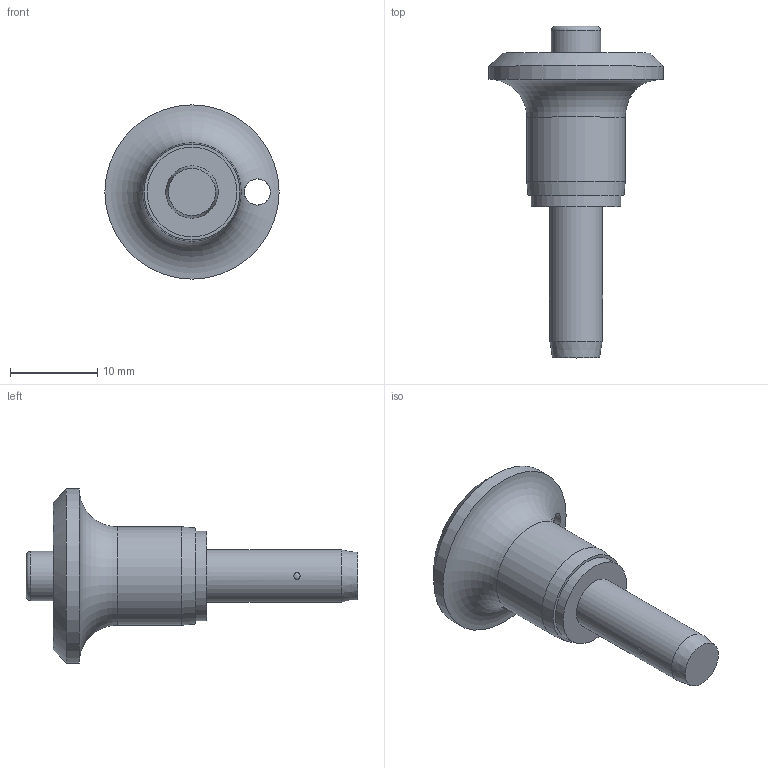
import cadquery as cq
import math

flange_diameter = 20.0
flange_chamfer = 1.5
flange_thickness = 3.0

button_diameter = 5.65
button_height = 3.1
button_rounding = 0.5

barrel_diameter = 11.3
barrel_taper_station = 14.7
barrel_end_station = 16.4
barrel_end_diameter = 11.0

collar_diameter = 10.3
collar_end_station = 17.65

shank_diameter = 6.0
tip_length = 1.9
tip_diameter = 5.4
pin_end_station = 35.0

lanyard_hole_diameter = 3.0
lanyard_hole_offset = 7.5

ball_station = 28.0
ball_diameter = 1.5
ball_rim_diameter = 0.8

flange_radius = flange_diameter / 2
barrel_radius = barrel_diameter / 2
shank_radius = shank_diameter / 2
button_radius = button_diameter / 2
collar_radius = collar_diameter / 2


def concave_corner(radius, start_station):
    """Midpoint and end of the quarter round that blends the flange into the barrel."""
    centre_x = barrel_radius + radius
    centre_y = -(start_station + radius)
    reach = radius * math.sqrt(0.5)
    midpoint = (centre_x - reach, centre_y + reach)
    return midpoint, (barrel_radius, centre_y)


def make_turned_body():
    """Revolve the half outline of button, grip, collar and shank about Y."""
    blend_radius = flange_radius - barrel_radius
    blend_middle, blend_end = concave_corner(blend_radius, flange_thickness)
    half_outline = (
        cq.Workplane("XY")
        .moveTo(0, button_height)
        .lineTo(button_radius - button_rounding, button_height)
        .radiusArc((button_radius, button_height - button_rounding), button_rounding)
        .lineTo(button_radius, 0)
        .lineTo(flange_radius - flange_chamfer, 0)
        .lineTo(flange_radius, -flange_chamfer)
        .lineTo(flange_radius, -flange_thickness)
        .threePointArc(blend_middle, blend_end)
        .lineTo(barrel_radius, -barrel_taper_station)
        .lineTo(barrel_end_diameter / 2, -barrel_end_station)
        .lineTo(collar_radius, -barrel_end_station)
        .lineTo(collar_radius, -collar_end_station)
        .lineTo(shank_radius, -collar_end_station)
        .lineTo(shank_radius, -(pin_end_station - tip_length))
        .lineTo(tip_diameter / 2, -pin_end_station)
        .lineTo(0, -pin_end_station)
        .close()
    )
    return half_outline.revolve(360, (0, 0, 0), (0, 1, 0))


def make_lanyard_hole():
    """Hole through the flange and clear past its flared neck, parallel to the pin axis."""
    return (
        cq.Workplane("XZ")
        .center(lanyard_hole_offset, 0)
        .circle(lanyard_hole_diameter / 2)
        .extrude(barrel_taper_station)
    )


def make_locking_ball(side):
    """Ball sunk into the shank so that its rim has the given diameter."""
    rim_radius = ball_rim_diameter / 2
    ball_radius = ball_diameter / 2
    sink = math.sqrt(ball_radius**2 - rim_radius**2)
    centre_x = math.sqrt(shank_radius**2 - rim_radius**2) - sink
    return cq.Workplane("XY").sphere(ball_radius).translate((side * centre_x, -ball_station, 0))


result = make_turned_body().cut(make_lanyard_hole())
for side in (-1, 1):
    result = result.union(make_locking_ball(side))